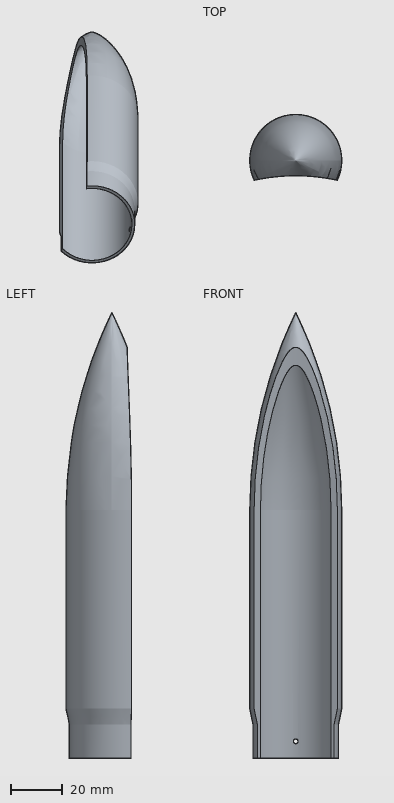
import cadquery as cq
import math

length = 171.5
body_diameter = 35.5
body_depth = 25.4
body_radius = body_diameter / 2
wall = 2.4
bore_radius = body_radius - wall

neck_top = 12.9
taper_top = 19.0
nose_base = 95.3
neck_radius = 16.5

cut_radius = 75.5
cut_edge_depth = body_depth - body_radius

pin_diameter = 1.7
pin_height = 6.5

nose_length = length - nose_base
ogive_radius = (body_radius**2 + nose_length**2) / (2 * body_radius)
ogive_centre = body_radius - ogive_radius


def ogive_half_width(radius, height):
    """Distance from the axis to an ogive arc, at a height above the nose base."""
    return ogive_centre + math.sqrt(radius**2 - height**2)


def ogive_tip(radius):
    """Height above the nose base where an ogive arc meets the axis."""
    return math.sqrt(radius**2 - ogive_centre**2)


def make_ogive_solid(profile, radius):
    """Close an open half profile with an ogive arc and turn it into a solid of two half turns.

    The halves meet on the plane Y = 0, which leaves each half of the nose its own face.
    """
    tip = ogive_tip(radius)
    middle = (ogive_half_width(radius, tip / 2), nose_base + tip / 2)
    closed = profile.threePointArc(middle, (0, nose_base + tip)).close()
    half = closed.revolve(180, (0, 0), (0, 1))
    return half.union(half.mirror("XZ"))


def make_body():
    profile = (
        cq.Workplane("XZ")
        .lineTo(neck_radius, 0)
        .lineTo(neck_radius, neck_top)
        .lineTo(body_radius, taper_top)
        .lineTo(body_radius, nose_base)
    )
    return make_ogive_solid(profile, ogive_radius)


def make_bore():
    profile = cq.Workplane("XZ").lineTo(bore_radius, 0).lineTo(bore_radius, nose_base)
    return make_ogive_solid(profile, ogive_radius - wall)


def make_opening():
    edge_half_width = math.sqrt(body_radius**2 - cut_edge_depth**2)
    cut_centre = -cut_edge_depth - math.sqrt(cut_radius**2 - edge_half_width**2)
    return cq.Workplane("XY").center(0, cut_centre).circle(cut_radius).extrude(length)


def make_pin_hole():
    return cq.Workplane("XZ").center(0, pin_height).circle(pin_diameter / 2).extrude(-body_radius)


result = make_body().cut(make_bore()).cut(make_opening()).cut(make_pin_hole())